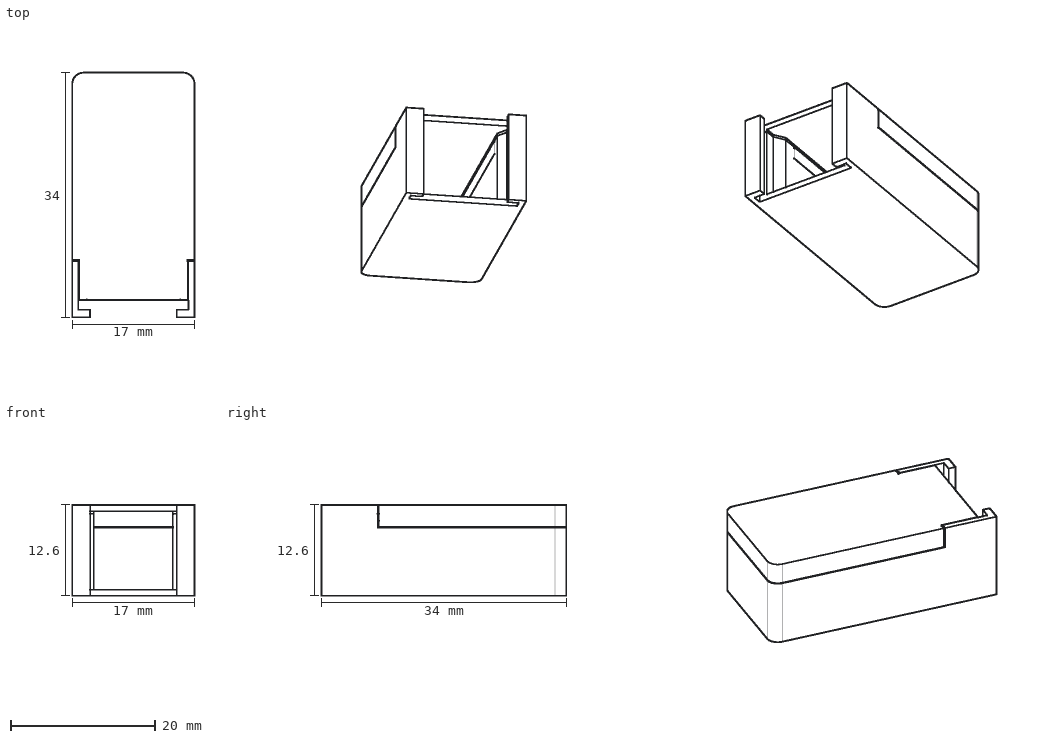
import cadquery as cq

WIDTH = 17.0
LENGTH = 34.0
HEIGHT = 12.6
CORNER_RADIUS = 1.6
PLATE = 0.85

LIP_WIDTH = 2.48
LIP_THICKNESS = 1.05
BODY_FRONT_Y = 2.35
RAIL_END_Y = 7.8

BASE_TOP_Z = 9.5
SHOULDER_Z = 11.4
SEAM_GAP = 0.1
LID_FRONT_Y = BODY_FRONT_Y + SEAM_GAP
SKIRT_FRONT_Y = RAIL_END_Y + 2 * SEAM_GAP
LID_TONGUE_X = PLATE + SEAM_GAP

MOUTH_WALL = 2.0
CHAMBER_WALL = 3.03
TAPER_START_Y = 4.0
TAPER_END_Y = 5.6
CHAMBER_BACK_Y = LENGTH - PLATE
ROOF_Z = HEIGHT - PLATE

RIDGE_DEPTH = (SHOULDER_Z - BASE_TOP_Z) / 2


def block(x0, x1, y0, y1, z0, z1):
    """Rectangular block between two opposite corners."""
    return cq.Workplane("XY").box(x1 - x0, y1 - y0, z1 - z0, centered=False).translate((x0, y0, z0))


def mirror_pair(shape):
    """The shape together with its mirror copy on the other side of the part."""
    center_x = WIDTH / 2
    return shape.union(shape.mirror("YZ", (center_x, 0, 0)))


def rounded_body(front_y, z0, z1):
    """Full-width block with both rear vertical edges rounded."""
    return block(0, WIDTH, front_y, LENGTH, z0, z1).edges("|Z and >Y").fillet(CORNER_RADIUS)


def make_cavity():
    """Space inside the case, open through the front."""
    left_side = [
        (MOUTH_WALL, 0),
        (MOUTH_WALL, TAPER_START_Y),
        (CHAMBER_WALL, TAPER_END_Y),
        (CHAMBER_WALL, CHAMBER_BACK_Y),
    ]
    right_side = [(WIDTH - x, y) for x, y in reversed(left_side)]
    return (
        cq.Workplane("XY")
        .workplane(offset=PLATE)
        .polyline(left_side + right_side)
        .close()
        .extrude(ROOF_Z - PLATE)
    )


def make_ridges():
    """Triangular ridges pointing outward above the base side walls."""
    profile = [
        (CHAMBER_WALL, BASE_TOP_Z),
        (CHAMBER_WALL - RIDGE_DEPTH, (BASE_TOP_Z + SHOULDER_Z) / 2),
        (CHAMBER_WALL, SHOULDER_Z),
    ]
    ridge = (
        cq.Workplane("XZ", origin=(0, RAIL_END_Y, 0))
        .polyline(profile)
        .close()
        .extrude(-(CHAMBER_BACK_Y - RAIL_END_Y))
    )
    return mirror_pair(ridge)


def make_guides():
    """Full-height side rails with inward lips across the front."""
    rail = block(0, PLATE, 0, RAIL_END_Y, 0, HEIGHT)
    lip = block(0, LIP_WIDTH, 0, LIP_THICKNESS, 0, HEIGHT)
    return mirror_pair(rail.union(lip))


def make_base(cavity, ridges):
    """Tray with tall front side walls, guide rails and ridges."""
    shoulders = block(0, WIDTH, BODY_FRONT_Y, RAIL_END_Y, 0, SHOULDER_Z)
    tray = rounded_body(BODY_FRONT_Y, 0, BASE_TOP_Z).union(shoulders).cut(cavity)
    return tray.union(make_guides()).union(ridges)


def make_lid(cavity, ridges):
    """Cover with a deep rear skirt and a shallow tongue between the rails."""
    skirt = rounded_body(SKIRT_FRONT_Y, BASE_TOP_Z + SEAM_GAP, HEIGHT)
    tongue = block(
        LID_TONGUE_X, WIDTH - LID_TONGUE_X, LID_FRONT_Y, SKIRT_FRONT_Y, SHOULDER_Z, HEIGHT
    )
    return skirt.union(tongue).cut(cavity).cut(ridges)


cavity = make_cavity()
ridges = make_ridges()
base = make_base(cavity, ridges)
lid = make_lid(cavity, ridges)

result = cq.Compound.makeCompound([base.solids().val(), lid.solids().val()])